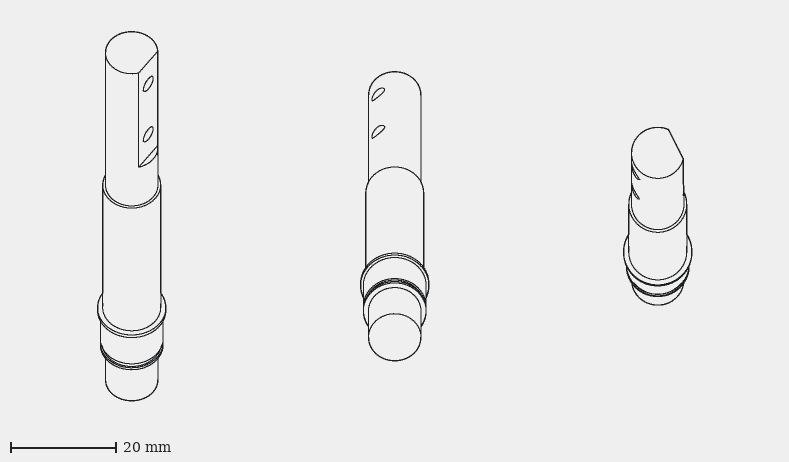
import cadquery as cq

total_length = 104.0
end_diameter = 10.0
body_diameter = 11.0
sleeve_diameter = 12.0
flange_diameter = 13.0
groove_diameter = 11.3

ring_bottom = 11.2
groove_bottom = 11.9
groove_top = 13.1
flange_bottom = 22.2
flange_top = 23.0
body_top = 62.0

flat_bottom = 74.0
flat_offset = 3.8

cross_hole_diameter = 3.2
upper_hole_height = 97.0
hole_spacing = 16.0


def make_stepped_shaft():
    """Revolve the half profile, with a square groove below the sleeve, about Z."""
    end_radius = end_diameter / 2
    body_radius = body_diameter / 2
    sleeve_radius = sleeve_diameter / 2
    flange_radius = flange_diameter / 2
    groove_radius = groove_diameter / 2
    return (
        cq.Workplane("XZ")
        .moveTo(0, 0)
        .lineTo(end_radius, 0)
        .lineTo(end_radius, ring_bottom)
        .lineTo(sleeve_radius, ring_bottom)
        .lineTo(sleeve_radius, groove_bottom)
        .lineTo(groove_radius, groove_bottom)
        .lineTo(groove_radius, groove_top)
        .lineTo(sleeve_radius, groove_top)
        .lineTo(sleeve_radius, flange_bottom)
        .lineTo(flange_radius, flange_bottom)
        .lineTo(flange_radius, flange_top)
        .lineTo(body_radius, flange_top)
        .lineTo(body_radius, body_top)
        .lineTo(end_radius, body_top)
        .lineTo(end_radius, total_length)
        .lineTo(0, total_length)
        .close()
        .revolve(360, (0, 0, 0), (0, 1, 0))
    )


def make_flat_cut():
    """Block that removes the +X side of the upper end."""
    return cq.Workplane("XY").box(
        end_diameter, 2 * end_diameter, total_length - flat_bottom, centered=(False, True, False)
    ).translate((flat_offset, 0, flat_bottom))


def make_cross_holes():
    """Two cylinders along X, one above the other."""
    upper_hole = (0, upper_hole_height)
    lower_hole = (0, upper_hole_height - hole_spacing)
    return (
        cq.Workplane("YZ")
        .pushPoints([upper_hole, lower_hole])
        .circle(cross_hole_diameter / 2)
        .extrude(end_diameter, both=True)
    )


result = make_stepped_shaft().cut(make_flat_cut()).cut(make_cross_holes())